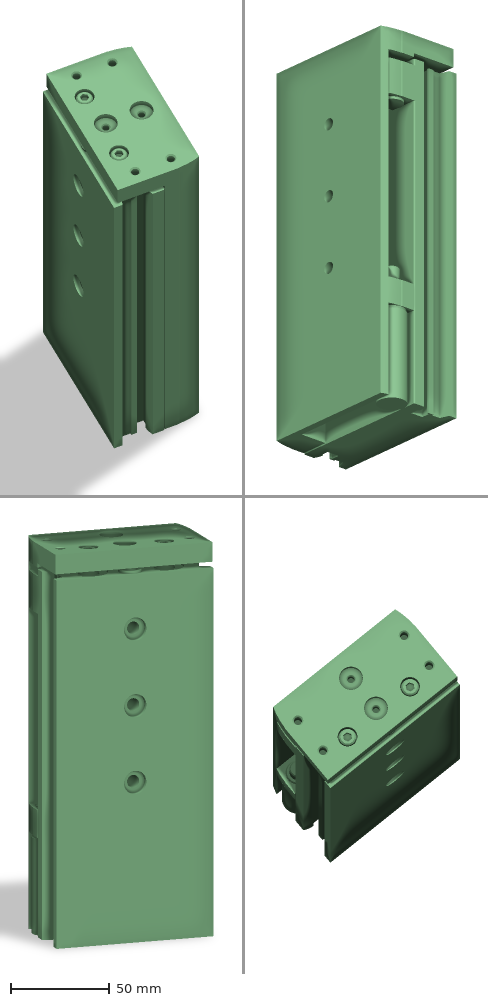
import cadquery as cq
import math

WIDTH = 85.0
DEPTH = 49.0
HEIGHT = 205.0
HALF_WIDTH = WIDTH / 2

HOUSING_TOP = 192.0
HOUSING_BACK = 28.5
HOUSING_EDGE_RADIUS = 0.8
FLANGE_EDGE = 4.7
FLANGE_ROOT = 6.5
TOOTH_FRONT = 11.7
TOOTH_BACK = 15.0
TOOTH_INSET = 4.3
RAIL_FRONT = 20.3
RAIL_CURVE_RISE = 1.5
RAIL_CURVE_BULGE = 0.2
FRONT_SLOT_DEPTH = 5.3
SENSOR_SLOT_DEPTH = 10.3
SENSOR_LIP_DEPTH = 5.3
SENSOR_UNDERCUT = 1.0
MOUNT_HOLE_DIAMETER = 6.5
COUNTERBORE_DIAMETER = 12.0
COUNTERBORE_DEPTH = 3.0
HOLE_PITCH = 40.0
MOUNT_HOLE_BASE = 83.5
MOUNT_HOLE_COUNT = 3

STOP_LUG_BOTTOM = 168.5
STOP_LUG_TOP = 188.3
STOP_LUG_BACK = 44.3
LUG_THICKNESS = 16.5
STOP_PAD_DIAMETER = 12.7
STOP_PAD_HEIGHT = 1.5

TABLE_BOTTOM = 0.6
TABLE_FRONT = 28.7
BACK_PLATE_FRONT = 44.7
SIDE_WALL_INNER = 25.6
END_PLATE_BOTTOM = 194.8
END_PLATE_FRONT = 2.0
UPPER_POCKET_TOP = 192.8
LUG_TOP = 66.2
LUG_BOTTOM = 51.7
POCKET_FILLET = 1.5
SIDE_END = 36.3
CURVE_START = 37.1
CURVE_START_INSET = 0.2
CURVE_MID = 43.9
CURVE_MID_INSET = 1.0
BACK_INSET = 2.5
CORNER_TAP_DIAMETER = 4.0
CORNER_TAP_MOUTH = 5.5
CENTRE_TAP_DIAMETER = 3.5
CENTRE_TAP_MOUTH = 4.7
TAP_DEPTH = 8.2
TAP_X = 34.9
TAP_ROW_PITCH = 20.0
TAP_FRONT_ROW = 15.4
TAP_ROWS = (TAP_FRONT_ROW, TAP_FRONT_ROW + TAP_ROW_PITCH)

ROD_X = 20.5
ROD_Y = 13.1
ROD_DIAMETER = 10.0
ROD_BORE_DIAMETER = 11.0
ROD_RECESS_DIAMETER = 20.0
ROD_RECESS_DEPTH = 0.6
ROD_BOTTOM = 123.0
SHANK_DIAMETER = 5.5
HEAD_DIAMETER = 8.6
HEAD_CHAMFER = 0.8
HEAD_BORE_DIAMETER = 10.0
HEAD_HEIGHT = 5.5
HEAD_RECESS = 0.6
HEAD_TOP = HEIGHT - HEAD_RECESS
HEAD_SEAT = HEAD_TOP - HEAD_HEIGHT
SOCKET_SIDES = 6
SOCKET_SIZE = 4.0
SOCKET_DEPTH = 2.7

ABSORBER_INSET = 8.2
ABSORBER_DIAMETER = 16.0
ABSORBER_X = ABSORBER_INSET - HALF_WIDTH
ABSORBER_Y = HOUSING_BACK + ABSORBER_DIAMETER / 2
COLLAR_DIAMETER = 15.2
COLLAR_HEIGHT = 1.5
NECK_DIAMETER = 12.0
NECK_STANDOUT = 1.0
NECK_CHAMFER = 0.6
PIN_DIAMETER = 8.2
PIN_TOP = 75.5
PIN_CHAMFER = 0.6

BUMPER_Y = 8.0
BUMPER_DIAMETER = 12.0
BUMPER_STEP_HEIGHT = 1.2
BUMPER_TIP_DIAMETER = 8.0

ROD_PLACES = [(-ROD_X, ROD_Y), (ROD_X, ROD_Y)]


def block(x_range, y_range, z_range):
    size = [high - low for low, high in (x_range, y_range, z_range)]
    corner = (x_range[0], y_range[0], z_range[0])
    return cq.Workplane("XY").box(*size, centered=False).translate(corner)


def cylinder(place, diameter, bottom, top):
    start = cq.Workplane("XY", origin=(place[0], place[1], bottom))
    return start.circle(diameter / 2).extrude(top - bottom)


def curved_outline():
    """Table outline in plan: straight sides that curve inwards towards the back."""
    start_x = HALF_WIDTH - CURVE_START_INSET
    mid_x = HALF_WIDTH - CURVE_MID_INSET
    back_x = HALF_WIDTH - BACK_INSET
    return (
        cq.Workplane("XY")
        .moveTo(-HALF_WIDTH, 0)
        .lineTo(HALF_WIDTH, 0)
        .lineTo(HALF_WIDTH, SIDE_END)
        .lineTo(start_x, CURVE_START)
        .threePointArc((mid_x, CURVE_MID), (back_x, DEPTH))
        .lineTo(-back_x, DEPTH)
        .threePointArc((-mid_x, CURVE_MID), (-start_x, CURVE_START))
        .lineTo(-HALF_WIDTH, SIDE_END)
        .close()
        .extrude(HEIGHT)
    )


def front_slot():
    """Shallow slot in the -X side, tapered where it meets the front flange."""
    floor = FRONT_SLOT_DEPTH - HALF_WIDTH
    return (
        cq.Workplane("XY")
        .moveTo(-HALF_WIDTH, FLANGE_EDGE)
        .lineTo(floor, FLANGE_ROOT)
        .lineTo(floor, TOOTH_FRONT)
        .lineTo(-HALF_WIDTH, TOOTH_FRONT)
        .close()
        .extrude(HOUSING_TOP)
    )


def sensor_slot():
    """Undercut slot in the -X side, with a mouth recessed behind the tooth and a rounded rail."""
    mouth = TOOTH_INSET - HALF_WIDTH
    lip = SENSOR_LIP_DEPTH - HALF_WIDTH
    floor = SENSOR_SLOT_DEPTH - HALF_WIDTH
    curve_mid = (
        TOOTH_INSET / 2 - HALF_WIDTH,
        RAIL_FRONT + RAIL_CURVE_RISE / 2 - RAIL_CURVE_BULGE,
    )
    return (
        cq.Workplane("XY")
        .moveTo(-HALF_WIDTH, TOOTH_FRONT)
        .lineTo(mouth, TOOTH_FRONT)
        .lineTo(mouth, TOOTH_BACK)
        .lineTo(lip, TOOTH_BACK)
        .lineTo(lip, TOOTH_BACK - SENSOR_UNDERCUT)
        .lineTo(floor, TOOTH_BACK - SENSOR_UNDERCUT)
        .lineTo(floor, RAIL_FRONT + SENSOR_UNDERCUT)
        .lineTo(lip, RAIL_FRONT + SENSOR_UNDERCUT)
        .lineTo(lip, RAIL_FRONT)
        .lineTo(mouth, RAIL_FRONT)
        .threePointArc(curve_mid, (-HALF_WIDTH, RAIL_FRONT + RAIL_CURVE_RISE))
        .close()
        .extrude(HOUSING_TOP)
    )


def mounting_holes():
    """Counterbored holes along Y that run right through the housing and the table."""
    places = [(0, MOUNT_HOLE_BASE + i * HOLE_PITCH) for i in range(MOUNT_HOLE_COUNT)]
    front = cq.Workplane("XZ").pushPoints(places)
    bores = front.circle(MOUNT_HOLE_DIAMETER / 2).extrude(-DEPTH)
    mouths = front.circle(COUNTERBORE_DIAMETER / 2).extrude(-COUNTERBORE_DEPTH)
    return bores.union(mouths)


def make_stop_lug():
    """Lug on the -X side that stops the shock absorber, with a round pad underneath."""
    outer = curved_outline()
    lug = block(
        (-HALF_WIDTH, LUG_THICKNESS - HALF_WIDTH),
        (HOUSING_BACK - HOUSING_EDGE_RADIUS, STOP_LUG_BACK),
        (STOP_LUG_BOTTOM, STOP_LUG_TOP),
    ).intersect(outer)
    pad = cylinder(
        (ABSORBER_X, ABSORBER_Y), STOP_PAD_DIAMETER, STOP_LUG_BOTTOM - STOP_PAD_HEIGHT, STOP_LUG_TOP
    )
    return lug.union(pad)


def make_housing():
    """Slotted body with the stop lug, the mounting holes and the recessed rod bores."""
    body = block((-HALF_WIDTH, HALF_WIDTH), (0, HOUSING_BACK), (0, HOUSING_TOP))
    body = body.edges("|Z and >Y").fillet(HOUSING_EDGE_RADIUS)
    for slot in (front_slot(), sensor_slot()):
        body = body.cut(slot).cut(slot.mirror("YZ"))
    body = body.union(make_stop_lug()).cut(mounting_holes())
    for place in ROD_PLACES:
        body = body.cut(cylinder(place, ROD_BORE_DIAMETER, ROD_BOTTOM, HOUSING_TOP))
        recess_floor = HOUSING_TOP - ROD_RECESS_DEPTH
        body = body.cut(cylinder(place, ROD_RECESS_DIAMETER, recess_floor, HOUSING_TOP))
    return body


def pocket(bottom, top):
    """Pocket open to the front and the -X side, ending at the +X side wall."""
    return block((-HALF_WIDTH, SIDE_WALL_INNER), (0, BACK_PLATE_FRONT), (bottom, top))


def tapped_hole(place, diameter, mouth_diameter, mouth_z):
    """Blind hole with a countersunk mouth."""
    hole = cylinder(place, diameter, HEIGHT - TAP_DEPTH, mouth_z)
    sink_depth = (mouth_diameter - diameter) / 2
    sink_start = cq.Vector(*place, mouth_z - sink_depth)
    countersink = cq.Solid.makeCone(diameter / 2, mouth_diameter / 2, sink_depth, sink_start)
    return hole.union(cq.Workplane(obj=countersink))


def end_plate_holes():
    """Corner taps, counterbored centre taps and screw seats in the end plate."""
    mouth_z = HEIGHT - COUNTERBORE_DEPTH
    holes = cq.Workplane("XY")
    for y in TAP_ROWS:
        for x in (-TAP_X, TAP_X):
            holes = holes.add(tapped_hole((x, y), CORNER_TAP_DIAMETER, CORNER_TAP_MOUTH, HEIGHT))
        holes = holes.add(tapped_hole((0, y), CENTRE_TAP_DIAMETER, CENTRE_TAP_MOUTH, mouth_z))
        holes = holes.add(cylinder((0, y), COUNTERBORE_DIAMETER, mouth_z, HEIGHT))
    for place in ROD_PLACES:
        holes = holes.add(cylinder(place, SHANK_DIAMETER, END_PLATE_BOTTOM, HEAD_SEAT))
        holes = holes.add(cylinder(place, HEAD_BORE_DIAMETER, HEAD_SEAT, HEIGHT))
    return holes.combine()


def make_table():
    """End plate, back plate and +X side wall in one piece, with the lug that holds the absorber."""
    body = curved_outline()
    body = body.cut(block((-HALF_WIDTH, HALF_WIDTH), (0, END_PLATE_FRONT), (0, HEIGHT)))
    body = body.cut(block((-HALF_WIDTH, HALF_WIDTH), (0, TABLE_FRONT), (0, END_PLATE_BOTTOM)))
    body = body.cut(block((-HALF_WIDTH, HALF_WIDTH), (0, DEPTH), (0, TABLE_BOTTOM)))
    upper = pocket(LUG_TOP, UPPER_POCKET_TOP)
    body = body.cut(upper.edges(">X and |Y").fillet(POCKET_FILLET))
    body = body.cut(pocket(TABLE_BOTTOM, LUG_BOTTOM))
    body = body.cut(cylinder((ABSORBER_X, ABSORBER_Y), NECK_DIAMETER, LUG_BOTTOM, LUG_TOP))
    return body.cut(end_plate_holes()).cut(mounting_holes())


def make_rod(place):
    """Piston rod with a reduced shank through the end plate and a socket screw head."""
    head = cylinder(place, HEAD_DIAMETER, HEAD_SEAT, HEAD_TOP).faces(">Z").chamfer(HEAD_CHAMFER)
    rod = cylinder(place, ROD_DIAMETER, ROD_BOTTOM, END_PLATE_BOTTOM)
    rod = rod.union(cylinder(place, SHANK_DIAMETER, END_PLATE_BOTTOM, HEAD_SEAT)).union(head)
    socket = (
        cq.Workplane("XY", origin=(place[0], place[1], HEAD_TOP))
        .polygon(SOCKET_SIDES, SOCKET_SIZE / math.cos(math.pi / SOCKET_SIDES))
        .extrude(-SOCKET_DEPTH)
    )
    return rod.cut(socket)


def make_absorber():
    """Shock absorber: body and collar below the table lug, neck through it, pin above it."""
    place = (ABSORBER_X, ABSORBER_Y)
    collar_bottom = LUG_BOTTOM - COLLAR_HEIGHT
    neck_top = LUG_TOP + NECK_STANDOUT
    neck = cylinder(place, NECK_DIAMETER, LUG_BOTTOM, neck_top).faces(">Z").chamfer(NECK_CHAMFER)
    pin = cylinder(place, PIN_DIAMETER, neck_top, PIN_TOP).faces(">Z").chamfer(PIN_CHAMFER)
    body = cylinder(place, ABSORBER_DIAMETER, 0, collar_bottom)
    return body.union(cylinder(place, COLLAR_DIAMETER, collar_bottom, LUG_BOTTOM)).union(neck).union(pin)


def make_bumper():
    """Stepped round bumper between the housing and the end plate."""
    place = (0, BUMPER_Y)
    step = HOUSING_TOP + BUMPER_STEP_HEIGHT
    base = cylinder(place, BUMPER_DIAMETER, HOUSING_TOP, step)
    return base.union(cylinder(place, BUMPER_TIP_DIAMETER, step, END_PLATE_BOTTOM))


housing = make_housing()
table = make_table()
rods = [make_rod(place) for place in ROD_PLACES]
absorber = make_absorber()
bumper = make_bumper()

result = cq.Compound.makeCompound(
    [housing.val(), table.val(), *[rod.val() for rod in rods], absorber.val(), bumper.val()]
)